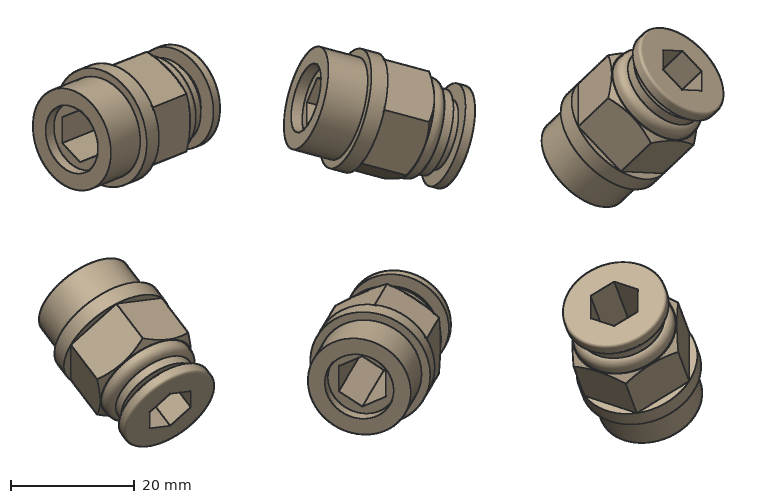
import cadquery as cq
import math

spigot_end = 7.0
flange_end = 9.92
hex_end = 18.88
barrel_end = 21.28
collar_end = 22.9
neck_end = 24.4
cap_end = 26.3

spigot_diameter = 17.2
flange_diameter = 20.05
barrel_diameter = 17.0
collar_diameter = 14.5
neck_diameter = 11.78
cap_diameter = 17.25

hex_across_corners = flange_diameter
hex_chamfer_length = 0.97
hex_end_diameter = 17.2

barrel_round = 1.47
cap_round = 0.47

counterbore_diameter = 11.5
counterbore_depth = 1.97
socket_across_flats = 7.85


def cylinder(diameter, start, end):
    """Solid cylinder along +Y between two axial positions."""
    plane = cq.Workplane("XZ", origin=(0, start, 0))
    return plane.circle(diameter / 2).extrude(start - end)


def hexagon(across_corners, start, end):
    """Hexagonal prism along +Y with two corners on the Z axis."""
    plane = cq.Workplane("XZ", origin=(0, start, 0))
    prism = plane.polygon(6, across_corners).extrude(start - end)
    return prism.rotate((0, 0, 0), (0, 1, 0), 30)


def chamfered_hexagon():
    """Wrench hexagon whose far corners are cut back by a cone."""
    prism = hexagon(hex_across_corners, flange_end, hex_end)
    corner_radius = hex_across_corners / 2
    envelope = (
        cq.Workplane("XY")
        .moveTo(0, flange_end)
        .lineTo(corner_radius, flange_end)
        .lineTo(corner_radius, hex_end - hex_chamfer_length)
        .lineTo(hex_end_diameter / 2, hex_end)
        .lineTo(0, hex_end)
        .close()
        .revolve(360, (0, 0, 0), (0, 1, 0))
    )
    return prism.intersect(envelope)


body = cylinder(spigot_diameter, 0, spigot_end)
body = body.union(cylinder(flange_diameter, spigot_end, flange_end))
body = body.union(chamfered_hexagon())
body = body.union(cylinder(barrel_diameter, hex_end, barrel_end).faces(">Y").edges().fillet(barrel_round))
body = body.union(cylinder(collar_diameter, barrel_end, collar_end))
body = body.union(cylinder(neck_diameter, collar_end, neck_end))
body = body.union(cylinder(cap_diameter, neck_end, cap_end).faces(">Y").edges().fillet(cap_round))

socket_across_corners = socket_across_flats / math.cos(math.radians(30))
body = body.cut(cylinder(counterbore_diameter, 0, counterbore_depth))
result = body.cut(hexagon(socket_across_corners, 0, cap_end))